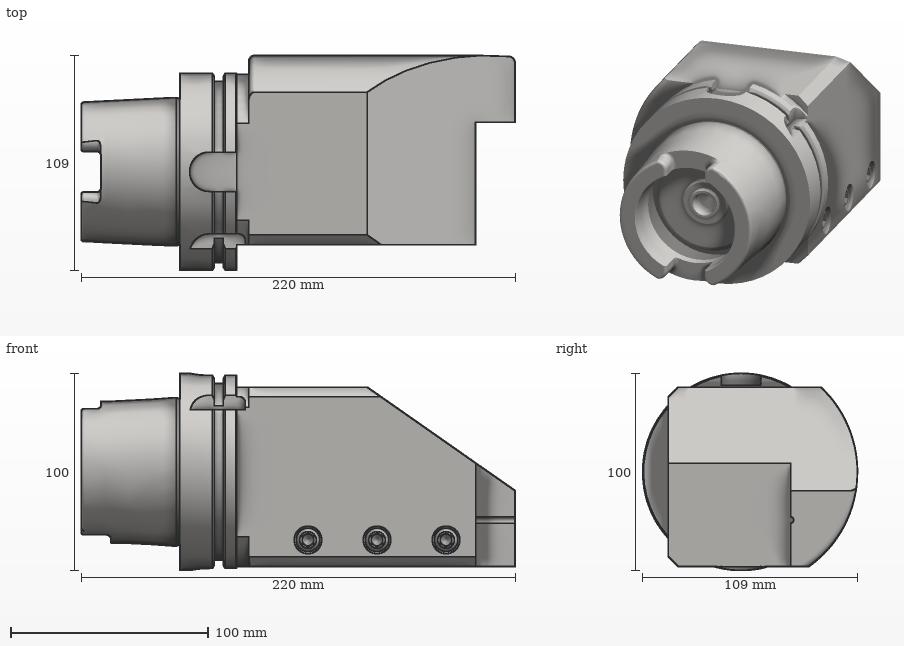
import cadquery as cq
import math


SHANK_LENGTH = 50.0
SHANK_DIAMETER = 75.3
SHANK_SLOPE = 1 / 20
SHANK_EDGE_RADIUS = 1.5
SHANK_COLLAR_START_X = -3.1
SHANK_COLLAR_END_X = -1.7
NECK_DIAMETER = 74.0

FLANGE_DIAMETER = 100.0
FLANGE_LENGTH = 29.0
FLANGE_EDGE_CHAMFER = 0.5
FACE_RECESS_DIAMETER = 78.6
FACE_RECESS_DEPTH = 1.0
GROOVE_CENTER_X = 19.8
GROOVE_FLOOR_WIDTH = 4.6
GROOVE_MOUTH_WIDTH = 6.6
GROOVE_BEVEL_DEPTH = 1.7
GROOVE_DIAMETER = 92.0

KEYWAY_WIDTH = 20.0
KEYWAY_START_X = 5.0
KEYWAY_FLOOR_HEIGHT = 44.0
NOTCH_WALL_Y = -31.5
NOTCH_FLOOR_Z = 31.4
NOTCH_START_X = 5.0
NOTCH_END_X = 33.3
NOTCH_START_RADIUS = 10.0
NOTCH_END_RADIUS = 3.5

COLLAR_DIAMETER = 99.0
BODY_START_X = 35.0
BODY_END_X = 170.0
BODY_RADIUS = 59.0
BODY_RIM_FILLET = 3.0
BODY_TOP_Z = 43.0
BODY_BOTTOM_Z = -48.0
BODY_SIDE_Y = -37.0
BODY_CHAMFER = 5.0
SLOPE_START_X = 95.0
SLOPE_ANGLE = 35.0
STEP_X = 150.0
STEP_Y = 25.0
RELIEF_DIAMETER = 3.15
RELIEF_Z = -24.4

BORE_DIAMETER = 53.0
BORE_MOUTH_DIAMETER = 53.8
CLAMP_SHOULDER_X = -30.0
CLAMP_SHOULDER_ANGLE = 60.0
CAVITY_DIAMETER = 63.0
CAVITY_END_X = -8.0
PLUG_DIAMETER = 55.0
PLUG_FACE_X = -15.5
PLUG_CHAMFER = 2.5

BOSS_DIAMETER = 24.0
BOSS_HEIGHT = 3.0
BOSS_CHAMFER = 0.8
NOZZLE_DIAMETER = 16.0
NOZZLE_HEIGHT = 2.0
NOZZLE_CHAMFER = 0.7
COOLANT_HOLE_DIAMETER = 12.0
COOLANT_HOLE_DEPTH = 10.0

SLOT_HALF_WIDTH = 10.2
SLOT_BASE_Z = 18.0
SLOT_FLARE_RADIUS = 4.5
SLOT_FLARE_HEIGHT = 32.0
SLOT_FLOOR_FILLET = 2.0
TOP_SLOT_DEPTH = 10.0
BOTTOM_SLOT_DEPTH = 15.0

ACCESS_X = -14.8
ACCESS_DIAMETER = 10.5
ACCESS_MOUTH_DIAMETER = 12.4

SCREW_XS = (65.0, 100.0, 135.0)
SCREW_Z = -34.5
SCREW_HOLE_DIAMETER = 12.0
SCREW_HOLE_MOUTH_DIAMETER = 14.0
SCREW_TOP_DEPTH = 1.5
SCREW_TOP_DIAMETER = 8.4
SOCKET_CORNER_DIAMETER = 6.93
SOCKET_DEPTH = 4.0

DRILL_POINT_ANGLE = 118.0
OVERCUT = 10.0


def revolve_about_x(outline):
    """Turn a closed XY outline, lying on the Y >= 0 side, about the X axis."""
    return outline.close().revolve(360, (0, 0, 0), (1, 0, 0))


def box_between(x_range, y_range, z_range):
    """Axis-aligned box given by its lower and upper limits along each axis."""
    limits = (x_range, y_range, z_range)
    sizes = [high - low for low, high in limits]
    corner = tuple(low for low, high in limits)
    return cq.Workplane("XY").box(*sizes, centered=False).translate(corner)


def cone_height(radius):
    """Height of the drill point that closes a hole of the given radius."""
    return radius / math.tan(math.radians(DRILL_POINT_ANGLE / 2))


def make_shank():
    """Solid taper with access holes and driving slots; one rounding follows the whole end outline."""
    large_radius = SHANK_DIAMETER / 2
    small_radius = large_radius - SHANK_SLOPE * (SHANK_COLLAR_START_X + SHANK_LENGTH)
    shank = revolve_about_x(
        cq.Workplane("XY")
        .moveTo(-SHANK_LENGTH, 0)
        .lineTo(-SHANK_LENGTH, small_radius)
        .lineTo(SHANK_COLLAR_START_X, large_radius)
        .lineTo(SHANK_COLLAR_END_X, large_radius)
        .lineTo(0, NECK_DIAMETER / 2)
        .lineTo(FACE_RECESS_DEPTH, NECK_DIAMETER / 2)
        .lineTo(FACE_RECESS_DEPTH, 0)
    )
    access_hole = make_access_hole_cutter()
    shank = shank.cut(access_hole).cut(turned_over(access_hole))
    shank = shank.cut(make_driving_slot_cutter(TOP_SLOT_DEPTH))
    shank = shank.cut(turned_over(make_driving_slot_cutter(BOTTOM_SLOT_DEPTH)))
    return shank.faces("<X").edges().fillet(SHANK_EDGE_RADIUS)


def make_flange():
    radius = FLANGE_DIAMETER / 2
    groove_radius = GROOVE_DIAMETER / 2
    groove_start_x = GROOVE_CENTER_X - GROOVE_FLOOR_WIDTH / 2
    groove_end_x = GROOVE_CENTER_X + GROOVE_FLOOR_WIDTH / 2
    bevel_radius = radius - GROOVE_BEVEL_DEPTH
    return revolve_about_x(
        cq.Workplane("XY")
        .moveTo(FACE_RECESS_DEPTH, 0)
        .lineTo(FACE_RECESS_DEPTH, FACE_RECESS_DIAMETER / 2)
        .lineTo(0, FACE_RECESS_DIAMETER / 2)
        .lineTo(0, radius)
        .lineTo(GROOVE_CENTER_X - GROOVE_MOUTH_WIDTH / 2, radius)
        .lineTo(groove_start_x, bevel_radius)
        .lineTo(groove_start_x, groove_radius)
        .lineTo(groove_end_x, groove_radius)
        .lineTo(groove_end_x, bevel_radius)
        .lineTo(GROOVE_CENTER_X + GROOVE_MOUTH_WIDTH / 2, radius)
        .lineTo(FLANGE_LENGTH - FLANGE_EDGE_CHAMFER, radius)
        .lineTo(FLANGE_LENGTH, radius - FLANGE_EDGE_CHAMFER)
        .lineTo(FLANGE_LENGTH, 0)
    )


def make_body():
    """Round collar and drum, trimmed flat on three sides and sloped towards the free end."""
    length = BODY_END_X - BODY_START_X
    drum = (
        cq.Workplane("YZ", origin=(BODY_START_X, 0, 0))
        .circle(BODY_RADIUS)
        .extrude(length)
        .edges()
        .fillet(BODY_RIM_FILLET)
    )
    flats = (
        box_between((BODY_START_X, BODY_END_X), (BODY_SIDE_Y, BODY_RADIUS), (BODY_BOTTOM_Z, BODY_TOP_Z))
        .edges("|X and <Y")
        .chamfer(BODY_CHAMFER)
    )
    collar = (
        cq.Workplane("YZ", origin=(FLANGE_LENGTH, 0, 0))
        .circle(COLLAR_DIAMETER / 2)
        .extrude(BODY_START_X - FLANGE_LENGTH)
    )
    collar_flats = box_between(
        (FLANGE_LENGTH, BODY_START_X), (BODY_SIDE_Y, BODY_RADIUS), (BODY_BOTTOM_Z, BODY_TOP_Z)
    )
    body = drum.intersect(flats).union(collar.intersect(collar_flats))
    return body.cut(make_slope_cutter()).cut(make_end_step_cutter()).cut(make_relief_cutter())


def make_slope_cutter():
    slope_length = BODY_END_X + OVERCUT - SLOPE_START_X
    slope_drop = slope_length * math.tan(math.radians(SLOPE_ANGLE))
    return (
        cq.Workplane("XZ")
        .moveTo(SLOPE_START_X, BODY_TOP_Z)
        .lineTo(SLOPE_START_X + slope_length, BODY_TOP_Z)
        .lineTo(SLOPE_START_X + slope_length, BODY_TOP_Z - slope_drop)
        .close()
        .extrude(BODY_RADIUS + OVERCUT, both=True)
    )


def make_end_step_cutter():
    return box_between(
        (STEP_X, BODY_END_X + OVERCUT),
        (BODY_SIDE_Y - OVERCUT, STEP_Y),
        (BODY_BOTTOM_Z - OVERCUT, BODY_TOP_Z + OVERCUT),
    )


def make_relief_cutter():
    """Half-round groove along the side face of the end step."""
    return (
        cq.Workplane("YZ", origin=(STEP_X, STEP_Y, RELIEF_Z))
        .circle(RELIEF_DIAMETER / 2)
        .extrude(BODY_END_X - STEP_X)
    )


def make_keyway_cutter():
    """Round-ended keyway above the spindle axis, open towards the body."""
    half_width = KEYWAY_WIDTH / 2
    straight_start = KEYWAY_START_X + half_width
    return (
        cq.Workplane("XY", origin=(0, 0, KEYWAY_FLOOR_HEIGHT))
        .moveTo(straight_start, half_width)
        .threePointArc((KEYWAY_START_X, 0), (straight_start, -half_width))
        .lineTo(FLANGE_LENGTH, -half_width)
        .lineTo(FLANGE_LENGTH, half_width)
        .close()
        .extrude(OVERCUT)
    )


def make_notch_cutter():
    outer_y = -FLANGE_DIAMETER / 2
    notch = box_between(
        (NOTCH_START_X, NOTCH_END_X), (outer_y, NOTCH_WALL_Y), (NOTCH_FLOOR_Z, FLANGE_DIAMETER / 2)
    )
    notch = notch.edges("|Z and >Y and <X").fillet(NOTCH_START_RADIUS)
    return notch.edges("|Z and >Y and >X").fillet(NOTCH_END_RADIUS)


def make_cavity_cutter():
    """Bore with clamping shoulder, leaving a chamfered plug standing in the wider cavity."""
    bore_radius = BORE_DIAMETER / 2
    mouth_radius = BORE_MOUTH_DIAMETER / 2
    cavity_radius = CAVITY_DIAMETER / 2
    plug_radius = PLUG_DIAMETER / 2
    mouth_chamfer = mouth_radius - bore_radius
    shoulder_length = (cavity_radius - bore_radius) / math.tan(math.radians(CLAMP_SHOULDER_ANGLE))
    return revolve_about_x(
        cq.Workplane("XY")
        .moveTo(-SHANK_LENGTH, 0)
        .lineTo(-SHANK_LENGTH, mouth_radius)
        .lineTo(-SHANK_LENGTH + mouth_chamfer, bore_radius)
        .lineTo(CLAMP_SHOULDER_X, bore_radius)
        .lineTo(CLAMP_SHOULDER_X + shoulder_length, cavity_radius)
        .lineTo(CAVITY_END_X, cavity_radius)
        .lineTo(CAVITY_END_X, plug_radius)
        .lineTo(PLUG_FACE_X + PLUG_CHAMFER, plug_radius)
        .lineTo(PLUG_FACE_X, plug_radius - PLUG_CHAMFER)
        .lineTo(PLUG_FACE_X, 0)
    )


def make_coolant_boss():
    """Two-step chamfered boss with a blind hole that ends in a drill point."""
    boss_radius = BOSS_DIAMETER / 2
    nozzle_radius = NOZZLE_DIAMETER / 2
    hole_radius = COOLANT_HOLE_DIAMETER / 2
    boss_x = PLUG_FACE_X - BOSS_HEIGHT
    nozzle_x = boss_x - NOZZLE_HEIGHT
    boss = revolve_about_x(
        cq.Workplane("XY")
        .moveTo(nozzle_x, 0)
        .lineTo(nozzle_x, nozzle_radius - NOZZLE_CHAMFER)
        .lineTo(nozzle_x + NOZZLE_CHAMFER, nozzle_radius)
        .lineTo(boss_x, nozzle_radius)
        .lineTo(boss_x, boss_radius - BOSS_CHAMFER)
        .lineTo(boss_x + BOSS_CHAMFER, boss_radius)
        .lineTo(PLUG_FACE_X, boss_radius)
        .lineTo(PLUG_FACE_X, 0)
    )
    hole_end_x = nozzle_x + COOLANT_HOLE_DEPTH
    hole = revolve_about_x(
        cq.Workplane("XY")
        .moveTo(nozzle_x, 0)
        .lineTo(nozzle_x, hole_radius)
        .lineTo(hole_end_x, hole_radius)
        .lineTo(hole_end_x + cone_height(hole_radius), 0)
    )
    return boss, hole


def make_driving_slot_cutter(depth):
    """Slot high above the axis whose walls round outwards into the outside of the shank."""
    flare_start_z = SLOT_FLARE_HEIGHT - SLOT_FLARE_RADIUS
    flare_y = SLOT_HALF_WIDTH + SLOT_FLARE_RADIUS
    arc_offset = SLOT_FLARE_RADIUS * (1 - math.sqrt(0.5))
    arc_mid = (SLOT_HALF_WIDTH + arc_offset, SLOT_FLARE_HEIGHT - arc_offset)
    side_y = flare_y + OVERCUT
    top_z = SLOT_FLARE_HEIGHT + OVERCUT
    return (
        cq.Workplane("YZ", origin=(-SHANK_LENGTH, 0, 0))
        .moveTo(-SLOT_HALF_WIDTH, SLOT_BASE_Z)
        .lineTo(SLOT_HALF_WIDTH, SLOT_BASE_Z)
        .lineTo(SLOT_HALF_WIDTH, flare_start_z)
        .threePointArc(arc_mid, (flare_y, SLOT_FLARE_HEIGHT))
        .lineTo(side_y, SLOT_FLARE_HEIGHT)
        .lineTo(side_y, top_z)
        .lineTo(-side_y, top_z)
        .lineTo(-side_y, SLOT_FLARE_HEIGHT)
        .lineTo(-flare_y, SLOT_FLARE_HEIGHT)
        .threePointArc((-arc_mid[0], arc_mid[1]), (-SLOT_HALF_WIDTH, flare_start_z))
        .close()
        .extrude(depth)
        .faces(">X")
        .edges()
        .fillet(SLOT_FLOOR_FILLET)
    )


def make_access_hole_cutter():
    """Countersunk hole through the upper shank wall."""
    surface_z = SHANK_DIAMETER / 2 + SHANK_SLOPE * (ACCESS_X - SHANK_COLLAR_START_X)
    hole_radius = ACCESS_DIAMETER / 2
    sink_depth = ACCESS_MOUTH_DIAMETER / 2 - hole_radius
    sink_height = 2 * sink_depth
    sink_top_radius = hole_radius + sink_height
    inner_z = (PLUG_DIAMETER + CAVITY_DIAMETER) / 4
    axis = cq.Vector(0, 0, 1)
    hole = cq.Solid.makeCylinder(
        hole_radius, surface_z - inner_z, cq.Vector(ACCESS_X, 0, inner_z), axis
    )
    sink = cq.Solid.makeCone(
        hole_radius, sink_top_radius, sink_height, cq.Vector(ACCESS_X, 0, surface_z - sink_depth), axis
    )
    return cq.Workplane(hole).union(cq.Workplane(sink))


def make_screw_cutter(x):
    """Countersunk recess down to a chamfered set screw with a hexagon socket."""
    mouth_radius = SCREW_HOLE_MOUTH_DIAMETER / 2
    hole_radius = SCREW_HOLE_DIAMETER / 2
    screw_top_radius = SCREW_TOP_DIAMETER / 2
    socket_radius = SOCKET_CORNER_DIAMETER / 2 * math.cos(math.pi / 6)
    recess_depth = SCREW_TOP_DEPTH + hole_radius - screw_top_radius
    recess = (
        cq.Workplane("XY")
        .lineTo(mouth_radius, 0)
        .lineTo(hole_radius, mouth_radius - hole_radius)
        .lineTo(hole_radius, recess_depth)
        .lineTo(screw_top_radius, SCREW_TOP_DEPTH)
        .lineTo(0, SCREW_TOP_DEPTH)
        .close()
        .revolve(360, (0, 0, 0), (0, 1, 0))
    )
    socket = (
        cq.Workplane("XZ")
        .polygon(6, SOCKET_CORNER_DIAMETER)
        .extrude(-SOCKET_DEPTH)
        .rotate((0, 0, 0), (0, 1, 0), 30)
    )
    point = (
        cq.Workplane("XY")
        .moveTo(0, SOCKET_DEPTH)
        .lineTo(socket_radius, SOCKET_DEPTH)
        .lineTo(0, SOCKET_DEPTH + cone_height(socket_radius))
        .close()
        .revolve(360, (0, 0, 0), (0, 1, 0))
    )
    return recess.union(socket).union(point).translate((x, BODY_SIDE_Y, SCREW_Z))


def turned_over(cutter):
    """The same cutter rotated half a turn about the spindle axis."""
    return cutter.rotate((0, 0, 0), (1, 0, 0), 180)


coolant_boss, coolant_hole = make_coolant_boss()
keyway = make_keyway_cutter()

flange = make_flange().cut(keyway).cut(turned_over(keyway))

result = make_shank().union(flange).union(make_body())
result = result.cut(make_notch_cutter())
result = result.cut(make_cavity_cutter())
result = result.union(coolant_boss).cut(coolant_hole)
result = result.cut(make_driving_slot_cutter(TOP_SLOT_DEPTH))
result = result.cut(turned_over(make_driving_slot_cutter(BOTTOM_SLOT_DEPTH)))
for screw_x in SCREW_XS:
    result = result.cut(make_screw_cutter(screw_x))